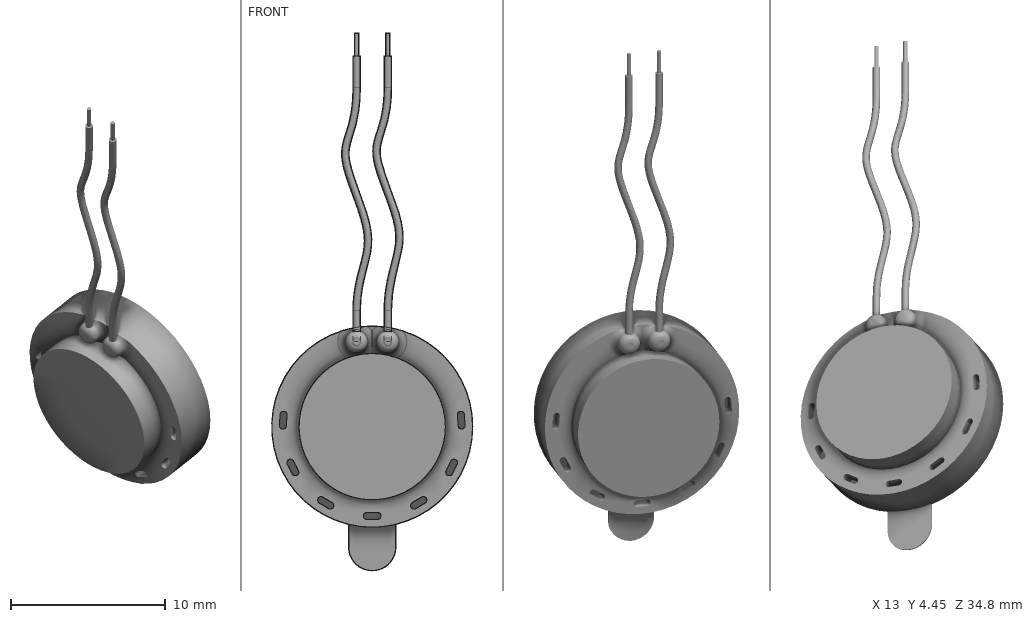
import cadquery as cq


housing_radius = 6.5
housing_depth = 2.8
boss_radius = 4.73
boss_depth = 1.45

plate_thickness = 0.2

tab_width = 3.05
tab_thickness = 0.1
tab_end = 9.3

slot_count = 7
slot_spacing = 31.4
slot_circle_radius = 5.77
slot_length = 1.15
slot_width = 0.45
slot_depth = 1.0

joint_offset = 1.0
joint_height = 5.5
solder_height = 0.97
solder_flat_radius = 0.25
solder_blend = solder_height / 2

wire_diameter = 0.5
lead_diameter = 0.28
lead_length = 1.5
wire_straight = 2.0
wire_top = 25.45

wires = [
    (-1, [(0.73, 12.25), (-0.73, 17.55)]),
    (1, [(0.73, 12.6), (-0.73, 17.72)]),
]

face_y = -housing_depth
boss_front_y = face_y - boss_depth
wire_y = face_y - solder_blend
insulation_top = wire_top - lead_length
wave_start = joint_height + wire_straight
wave_end = insulation_top - wire_straight


def disc(radius, back_y, thickness):
    """Disc on the housing axis, growing forward from back_y."""
    return cq.Workplane("XZ", origin=(0, back_y, 0)).circle(radius).extrude(thickness)


def upright_rod(x, bottom, top, diameter):
    """Vertical rod in the plane of the wires."""
    return (
        cq.Workplane("XY", origin=(x, wire_y, bottom))
        .circle(diameter / 2)
        .extrude(top - bottom)
    )


def make_tab():
    """Thin tongue with a full round end, drawn from the housing axis downward."""
    half_width = tab_width / 2
    round_start = half_width - tab_end
    return (
        cq.Workplane("XZ")
        .moveTo(-half_width, 0)
        .lineTo(-half_width, round_start)
        .threePointArc((0, -tab_end), (half_width, round_start))
        .lineTo(half_width, 0)
        .close()
        .extrude(tab_thickness)
    )


def make_slots():
    """Cutters for the vent slots, each lying along the rim."""
    middle = (slot_count - 1) / 2
    lowest = (
        cq.Workplane("XZ", origin=(0, face_y + slot_depth, 0))
        .center(0, -slot_circle_radius)
        .slot2D(slot_length, slot_width)
        .extrude(slot_depth)
    )
    cutters = cq.Workplane("XZ")
    for index in range(slot_count):
        angle = (index - middle) * slot_spacing
        cutters.add(lowest.rotate((0, 0, 0), (0, 1, 0), angle))
    return cutters


def make_solder_joint(x):
    """Solder button turned about Y: concave quarter arc, convex quarter arc, small flat."""
    mid_radius = solder_flat_radius + solder_blend
    base_radius = mid_radius + solder_blend
    button = (
        cq.Workplane("XY")
        .lineTo(base_radius, 0)
        .radiusArc((mid_radius, -solder_blend), -solder_blend)
        .radiusArc((solder_flat_radius, -solder_height), solder_blend)
        .lineTo(0, -solder_height)
        .close()
        .revolve(360, (0, 0, 0), (0, 1, 0))
    )
    return button.translate((x, face_y, joint_height))


def make_housing():
    body = disc(housing_radius, 0, housing_depth)
    body = body.union(disc(boss_radius, face_y, boss_depth)).union(make_tab())
    for slot in make_slots().vals():
        body = body.cut(cq.Workplane(slot))

    rim_limit = disc(housing_radius, face_y, solder_height)
    for side, _ in wires:
        joint = make_solder_joint(side * joint_offset)
        body = body.union(joint.intersect(rim_limit))
    for side, _ in wires:
        wire_hole = upright_rod(side * joint_offset, joint_height, wave_start, wire_diameter)
        body = body.cut(wire_hole)
    return body


def make_insulation(side, crests):
    """Insulated wire: straight out of the solder, through two waves, straight again."""
    x = side * joint_offset
    wave = [(x + shift, height) for shift, height in crests]
    path = (
        cq.Workplane("XZ", origin=(0, wire_y, 0))
        .moveTo(x, joint_height)
        .lineTo(x, wave_start)
        .spline(wave + [(x, wave_end)], tangents=[(0, 1), (0, 1)], includeCurrent=True)
        .lineTo(x, insulation_top)
    )
    return (
        cq.Workplane("XY", origin=(x, wire_y, joint_height))
        .circle(wire_diameter / 2)
        .sweep(path)
    )


def make_lead(side):
    """Bare lead standing on the end of the insulation."""
    return upright_rod(side * joint_offset, insulation_top, wire_top, lead_diameter)


housing = make_housing()
cover_plate = disc(boss_radius, boss_front_y, plate_thickness)
insulations = [make_insulation(side, crests) for side, crests in wires]
leads = [make_lead(side) for side, _ in wires]

result = cq.Compound.makeCompound([
    housing.solids().val(),
    cover_plate.val(),
    *[insulation.val() for insulation in insulations],
    *[lead.val() for lead in leads],
])